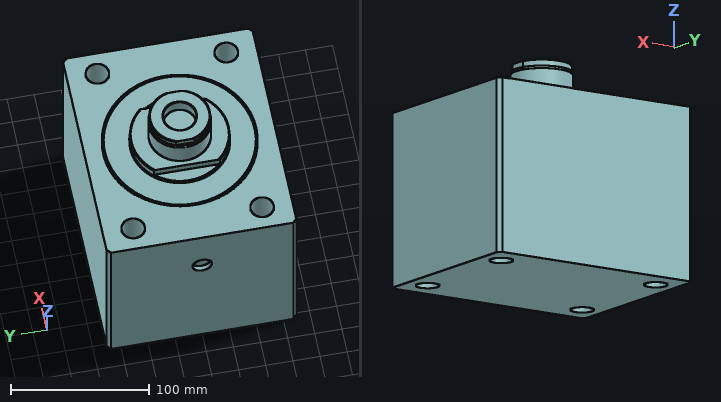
import cadquery as cq

length = 170.0
width = 140.0
housing_height = 130.0
corner_chamfer = 2.9

bolt_spacing_x = 135.2
bolt_spacing_y = 95.0
bolt_hole_diameter = 17.0

port_diameter = 14.1
port_depth = 3.9
port_below_top = 36.9

gland_diameter = 112.9
gland_thickness = 30.0
gland_chamfer = 1.4
lip_diameter = 73.1
lip_height = 0.5

overall_height = 163.0
shoulder_diameter = 72.0
shoulder_height = 8.2
shoulder_flat_width = 53.2
shoulder_flat_start = 2.0
shoulder_chamfer = 0.5
stem_diameter = 45.5
nose_diameter = 44.2
nose_length = 5.0
nose_taper_length = 2.0
nose_flat_width = 42.0
rod_hole_diameter = 24.1
rod_hole_depth = 10.5
nose_chamfer = 0.5
rod_hole_chamfer = 0.3

gland_bottom = housing_height - gland_thickness
shoulder_top = housing_height + shoulder_height
nose_bottom = overall_height - nose_length


def cylinder(diameter, bottom, top):
    """Vertical cylinder on the Z axis between two heights."""
    return cq.Workplane("XY").workplane(offset=bottom).circle(diameter / 2).extrude(top - bottom)


def cut_flats(body, flat_width, bottom, top):
    """Cut two flats facing -X and +X into a body between two heights."""
    band = cq.Workplane("XY").workplane(offset=bottom).rect(length, width)
    band = band.rect(flat_width, width).extrude(top - bottom)
    return body.cut(band)


def make_housing():
    block = cq.Workplane("XY").box(length, width, housing_height, centered=(True, True, False))
    block = block.edges("|Z").chamfer(corner_chamfer)
    bolt_holes = (
        cq.Workplane("XY")
        .rect(bolt_spacing_x, bolt_spacing_y, forConstruction=True)
        .vertices()
        .circle(bolt_hole_diameter / 2)
        .extrude(housing_height)
    )
    port = (
        cq.Workplane("YZ", origin=(-length / 2, 0, housing_height - port_below_top))
        .circle(port_diameter / 2)
        .extrude(port_depth)
    )
    gland_recess = cylinder(gland_diameter, gland_bottom, housing_height)
    return block.cut(bolt_holes).cut(port).cut(gland_recess)


def make_gland():
    ring = cylinder(gland_diameter, gland_bottom, housing_height)
    ring = ring.faces(">Z").edges().chamfer(gland_chamfer)
    lip = cylinder(lip_diameter, housing_height, housing_height + lip_height)
    rod_bore = cylinder(shoulder_diameter, gland_bottom, housing_height + lip_height)
    return ring.union(lip).cut(rod_bore)


def make_rod():
    shoulder = cylinder(shoulder_diameter, gland_bottom, shoulder_top)
    shoulder = shoulder.faces(">Z").chamfer(shoulder_chamfer)
    shoulder = cut_flats(shoulder, shoulder_flat_width, housing_height + shoulder_flat_start, shoulder_top)
    stem = cylinder(stem_diameter, shoulder_top, nose_bottom - nose_taper_length)
    taper = stem.faces(">Z").workplane().circle(stem_diameter / 2)
    taper = taper.workplane(offset=nose_taper_length).circle(nose_diameter / 2).loft(combine=False)
    nose = cylinder(nose_diameter, nose_bottom, overall_height)
    nose = nose.faces(">Z").chamfer(nose_chamfer)
    nose = cut_flats(nose, nose_flat_width, nose_bottom, overall_height)
    end_hole = cylinder(rod_hole_diameter, overall_height - rod_hole_depth, overall_height)
    rod = shoulder.union(stem).union(taper).union(nose).cut(end_hole)
    return rod.faces(">Z").edges(cq.selectors.RadiusNthSelector(0)).chamfer(rod_hole_chamfer)


housing = make_housing()
gland = make_gland()
rod = make_rod()

result = cq.Compound.makeCompound([housing.val(), gland.val(), rod.val()])